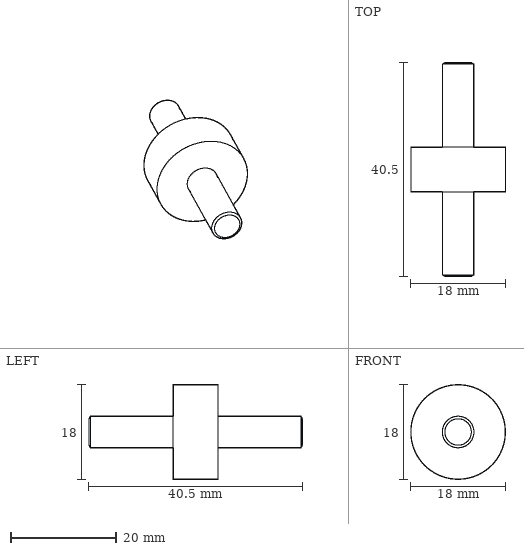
import cadquery as cq

overall_length = 40.5
disc_diameter = 18.0
disc_thickness = 8.5
rod_diameter = 6.0
chamfer_radial = 0.5
chamfer_axial = 0.3


def disc():
    """Plain cylindrical body in the middle of the part."""
    back_face = cq.Workplane("XZ", origin=(0, disc_thickness / 2, 0))
    return back_face.circle(disc_diameter / 2).extrude(disc_thickness)


def rod():
    """Through rod with a shallow chamfer at both tips, revolved about Y."""
    radius = rod_diameter / 2
    tip_radius = radius - chamfer_radial
    tip = overall_length / 2
    shoulder = tip - chamfer_axial
    profile = [
        (0, -tip),
        (tip_radius, -tip),
        (radius, -shoulder),
        (radius, shoulder),
        (tip_radius, tip),
        (0, tip),
    ]
    return cq.Workplane("XY").polyline(profile).close().revolve(360, (0, 0), (0, 1))


result = disc().union(rod())